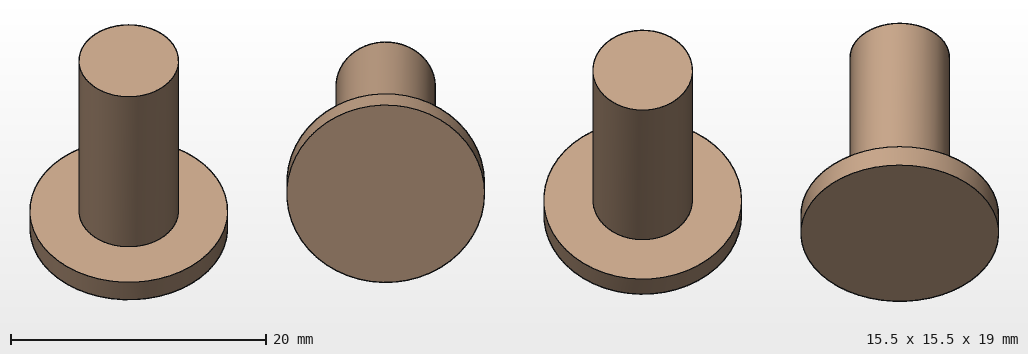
import cadquery as cq

total_height = 19.0
head_diameter = 15.5
head_thickness = 2.0
shank_diameter = 7.8

shank_length = total_height - head_thickness

head = cq.Workplane("XY").circle(head_diameter / 2).extrude(head_thickness)
shank = (
    cq.Workplane("XY")
    .workplane(offset=head_thickness)
    .circle(shank_diameter / 2)
    .extrude(shank_length)
)

result = head.union(shank)